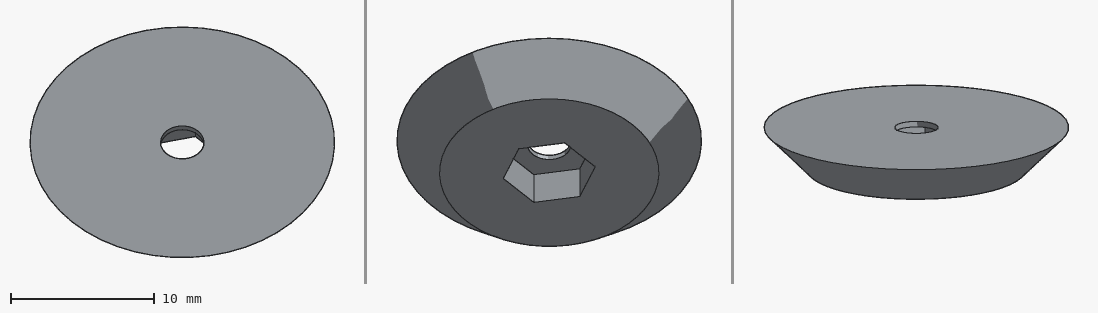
import cadquery as cq

top_diameter = 21.2
thickness = 3.0
bottom_diameter = 15.26

hole_diameter = 3.0
nut_across_corners = 6.5
web_thickness = 0.4
pocket_depth = thickness - web_thickness
corner_angle = 30


def conical_body():
    return (
        cq.Workplane("XY")
        .circle(bottom_diameter / 2)
        .workplane(offset=thickness)
        .circle(top_diameter / 2)
        .loft(ruled=True)
    )


def through_hole():
    return cq.Workplane("XY").circle(hole_diameter / 2).extrude(thickness)


def nut_pocket():
    pocket = cq.Workplane("XY").polygon(6, nut_across_corners).extrude(pocket_depth)
    return pocket.rotate((0, 0, 0), (0, 0, 1), corner_angle)


result = conical_body().cut(through_hole()).cut(nut_pocket())